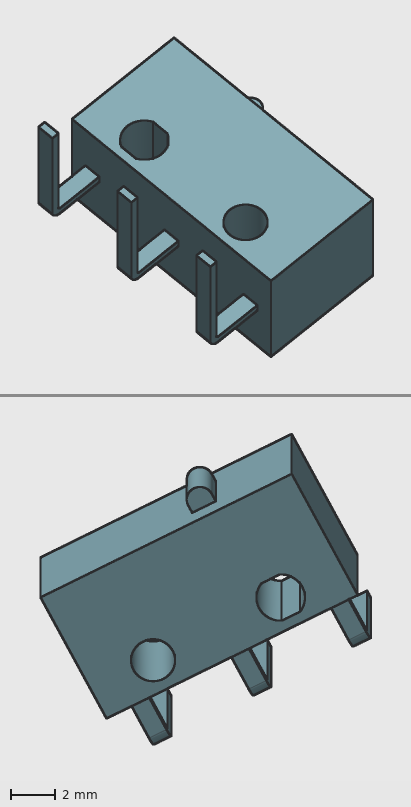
import cadquery as cq

HOUSING_LENGTH = 12.8
HOUSING_DEPTH = 6.5
HOUSING_HEIGHT = 5.8
FRONT_Y = -HOUSING_DEPTH / 2
BACK_Y = HOUSING_DEPTH / 2

HOLE_SPACING = 6.5
HOLE_DIAMETER = 2.0
HOLE_FROM_FRONT = 1.5
WIDE_HOLE_DIAMETER = 2.2
HOLE_Y = FRONT_Y + HOLE_FROM_FRONT

TERMINAL_COUNT = 3
TERMINAL_PITCH = 5.08
TERMINAL_WIDTH = 0.9
TERMINAL_THICKNESS = 0.4
TERMINAL_REACH = 3.0
TERMINAL_RISE = 3.1
BEND_INNER_RADIUS = 0.1
BEND_OUTER_RADIUS = BEND_INNER_RADIUS + TERMINAL_THICKNESS

PLUNGER_X = -1.93
PLUNGER_WIDTH = 1.2
PLUNGER_REACH = 1.0
PLUNGER_HEIGHT = HOUSING_HEIGHT / 2
NOSE_RADIUS = PLUNGER_WIDTH / 2


def round_hole():
    return (
        cq.Workplane("XY")
        .center(HOLE_SPACING / 2, HOLE_Y)
        .circle(HOLE_DIAMETER / 2)
        .extrude(HOUSING_HEIGHT / 2, both=True)
    )


def flatted_hole():
    """Wide round hole clipped by flats on its front and back sides."""
    centre = cq.Workplane("XY").center(-HOLE_SPACING / 2, HOLE_Y)
    cylinder = centre.circle(WIDE_HOLE_DIAMETER / 2).extrude(HOUSING_HEIGHT / 2, both=True)
    between_flats = centre.box(WIDE_HOLE_DIAMETER, HOLE_DIAMETER, HOUSING_HEIGHT)
    return cylinder.intersect(between_flats)


def terminal(x):
    """L-shaped strip centred at x, with its foot on the front face."""
    outer_y = FRONT_Y - TERMINAL_REACH
    inner_y = outer_y + TERMINAL_THICKNESS
    bottom_z = -TERMINAL_THICKNESS / 2
    upper_z = TERMINAL_THICKNESS / 2
    tip_z = HOUSING_HEIGHT / 2 + TERMINAL_RISE
    strip = (
        cq.Workplane("YZ", origin=(x, 0, 0))
        .moveTo(FRONT_Y, bottom_z)
        .lineTo(outer_y + BEND_OUTER_RADIUS, bottom_z)
        .radiusArc((outer_y, bottom_z + BEND_OUTER_RADIUS), BEND_OUTER_RADIUS)
        .lineTo(outer_y, tip_z)
        .lineTo(inner_y, tip_z)
        .lineTo(inner_y, upper_z + BEND_INNER_RADIUS)
        .radiusArc((inner_y + BEND_INNER_RADIUS, upper_z), -BEND_INNER_RADIUS)
        .lineTo(FRONT_Y, upper_z)
        .close()
    )
    return strip.extrude(TERMINAL_WIDTH / 2, both=True)


def make_housing():
    """Housing block with its mounting holes and integral terminals."""
    body = cq.Workplane("XY").box(HOUSING_LENGTH, HOUSING_DEPTH, HOUSING_HEIGHT)
    body = body.cut(round_hole()).cut(flatted_hole())
    for index in range(TERMINAL_COUNT):
        x = (index - (TERMINAL_COUNT - 1) / 2) * TERMINAL_PITCH
        body = body.union(terminal(x))
    return body


def make_plunger():
    nose_start_y = BACK_Y + PLUNGER_REACH - NOSE_RADIUS
    left_x = PLUNGER_X - PLUNGER_WIDTH / 2
    right_x = PLUNGER_X + PLUNGER_WIDTH / 2
    return (
        cq.Workplane("XY")
        .moveTo(left_x, BACK_Y)
        .lineTo(right_x, BACK_Y)
        .lineTo(right_x, nose_start_y)
        .threePointArc((PLUNGER_X, BACK_Y + PLUNGER_REACH), (left_x, nose_start_y))
        .close()
        .extrude(PLUNGER_HEIGHT / 2, both=True)
    )


housing = make_housing()
plunger = make_plunger()
result = cq.Compound.makeCompound([housing.solids().val(), plunger.solids().val()])